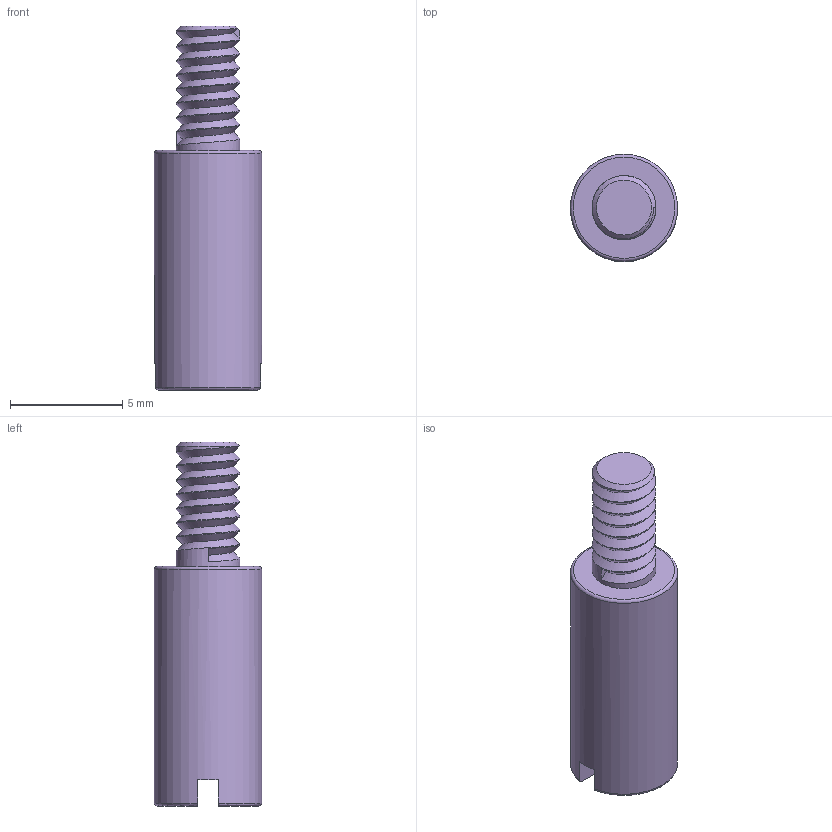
import cadquery as cq

overall_length = 16.23
body_diameter = 4.78
body_edge_radius = 0.13

stud_length = 5.55
major_diameter = 2.85
root_diameter = 2.26
stud_tip_chamfer = 0.2

pitch = 0.635
thread_turns = 7.5
thread_start_height = 0.5
groove_mouth_width = 0.6
groove_overshoot = 0.01

slot_width = 0.92
slot_depth = 1.17

body_length = overall_length - stud_length
major_radius = major_diameter / 2
root_radius = root_diameter / 2


def make_body():
    body = cq.Workplane("XY").circle(body_diameter / 2).extrude(body_length)
    return body.edges("%CIRCLE").fillet(body_edge_radius)


def make_stud():
    stud = cq.Workplane("XY").workplane(offset=body_length)
    stud = stud.circle(major_radius).extrude(stud_length)
    return stud.faces(">Z").edges().chamfer(stud_tip_chamfer)


def make_thread_groove():
    """V-shaped cutter that winds around the Z axis, with its point at the root radius."""
    outer_radius = major_radius + groove_overshoot
    flank_slope = groove_mouth_width / 2 / (major_radius - root_radius)
    half_width = flank_slope * (outer_radius - root_radius)
    profile = (
        cq.Workplane("XZ")
        .moveTo(root_radius, 0)
        .lineTo(outer_radius, half_width)
        .lineTo(outer_radius, -half_width)
        .close()
    )
    helix = cq.Wire.makeHelix(pitch, pitch * thread_turns, root_radius)
    groove = profile.sweep(cq.Workplane(obj=helix), isFrenet=True)
    groove = groove.rotate((0, 0, 0), (0, 0, 1), 180)
    return groove.translate((0, 0, body_length + thread_start_height))


def make_slot():
    return cq.Workplane("XY").box(body_diameter, slot_width, slot_depth, centered=(True, True, False))


threaded_stud = make_stud().cut(make_thread_groove())
slotted_body = make_body().cut(make_slot())
result = slotted_body.union(threaded_stud)